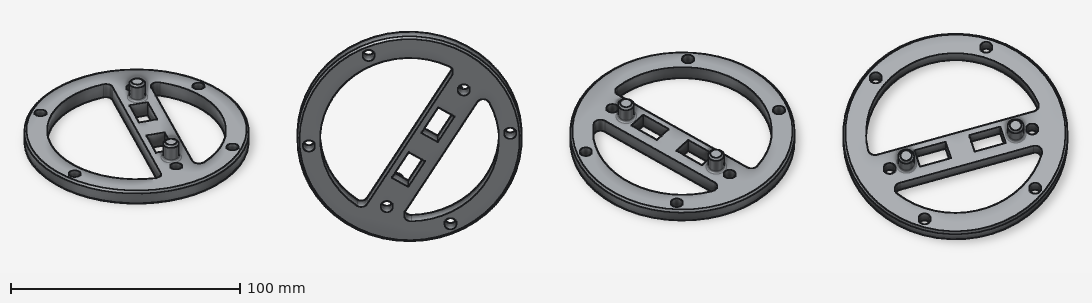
import cadquery as cq
import math

outer_diameter = 98.0
plate_thickness = 7.0
rim_chamfer = 1.0

opening_radius = 39.0
bar_bottom_y = 0.0
bar_top_y = 16.1
window_corner_radius = 3.0

bar_center_y = (bar_bottom_y + bar_top_y) / 2
pin_diameter = 7.0
pin_spacing = 50.0
overall_height = 15.0
pin_tip_chamfer = 1.0
pin_root_fillet = 1.0
hole_diameter = 5.3
bar_hole_spacing = 65.1

ring_hole_circle_radius = 44.0
ring_hole_angle = math.radians(55)
ring_hole_spacing_x = 2 * ring_hole_circle_radius * math.cos(ring_hole_angle)
ring_hole_spacing_y = 2 * ring_hole_circle_radius * math.sin(ring_hole_angle)

slot_length = 14.2
slot_width = 8.3
slot_spacing = 25.0
slot_center_y = 7.0


def mirrored_points(spacing, y):
    return [(-spacing / 2, y), (spacing / 2, y)]


def make_plate():
    plate = cq.Workplane("XY").circle(outer_diameter / 2).extrude(plate_thickness)
    return plate.edges().chamfer(rim_chamfer)


def make_window(y_start, y_end):
    """Circle segment between two heights, with rounded vertical corners."""
    disc = cq.Workplane("XY").circle(opening_radius).extrude(plate_thickness)
    band = (
        cq.Workplane("XY")
        .center(0, (y_start + y_end) / 2)
        .rect(2 * opening_radius, y_end - y_start)
        .extrude(plate_thickness)
    )
    window = disc.intersect(band)
    return window.faces("|Y").edges("|Z").fillet(window_corner_radius)


def make_holes():
    points = mirrored_points(bar_hole_spacing, bar_center_y)
    for y in (-ring_hole_spacing_y / 2, ring_hole_spacing_y / 2):
        points += mirrored_points(ring_hole_spacing_x, y)
    return cq.Workplane("XY").pushPoints(points).circle(hole_diameter / 2).extrude(plate_thickness)


def make_slots():
    return (
        cq.Workplane("XY")
        .pushPoints(mirrored_points(slot_spacing, slot_center_y))
        .rect(slot_length, slot_width)
        .extrude(plate_thickness)
    )


def make_pin():
    """Revolved pin with a chamfered tip and a concave fillet at its root."""
    radius = pin_diameter / 2
    root_radius = radius + pin_root_fillet
    root_top = plate_thickness + pin_root_fillet
    arc_offset = pin_root_fillet / 2**0.5
    return (
        cq.Workplane("XZ")
        .lineTo(root_radius, 0)
        .lineTo(root_radius, plate_thickness)
        .threePointArc((root_radius - arc_offset, root_top - arc_offset), (radius, root_top))
        .lineTo(radius, overall_height - pin_tip_chamfer)
        .lineTo(radius - pin_tip_chamfer, overall_height)
        .lineTo(0, overall_height)
        .close()
        .revolve(360, (0, 0, 0), (0, 1, 0))
    )


result = make_plate()
for x, y in mirrored_points(pin_spacing, bar_center_y):
    result = result.union(make_pin().translate((x, y, 0)))

result = (
    result.cut(make_window(bar_top_y, opening_radius))
    .cut(make_window(-opening_radius, bar_bottom_y))
    .cut(make_holes())
    .cut(make_slots())
)